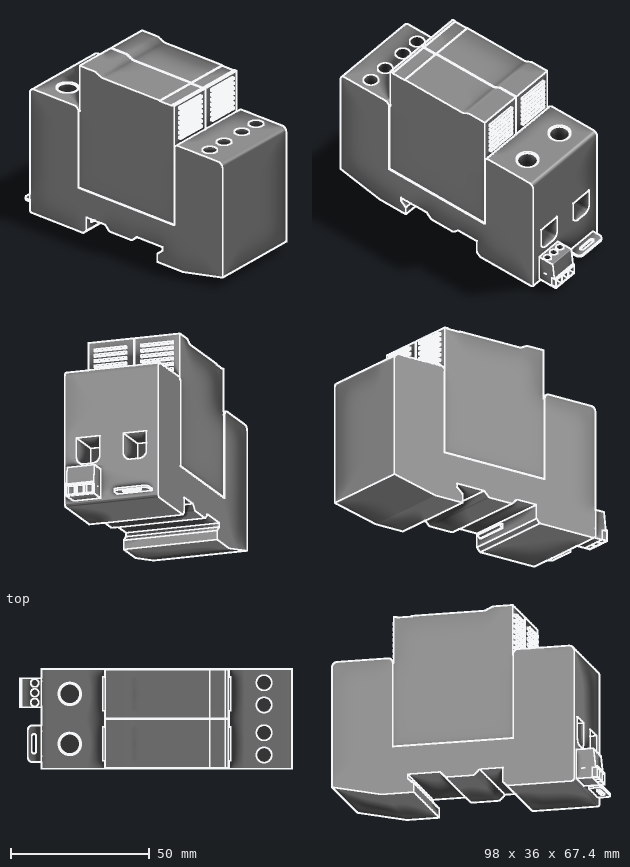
import cadquery as cq
import math

total_length = 97.95
width = 36.0
connector_reach = 7.75
length = total_length - connector_reach
shoulder_z = 50.65
edge_radius = 2.0
base_radius = 1.0
module_centers = (width / 4, 3 * width / 4)

bay_left = 22.7
bay_right = 67.55
bay_floor = 17.65
bay_edge_radius = 1.8

rail_roof = 6.85
rail_left = 26.5
rail_left_chamfer = 1.5
rail_right = 62.0
rail_lip = 59.65
rail_lip_top = 3.4
rail_lip_bevel_top = 5.4
boss_left = 35.2
boss_right = 49.9
boss_bottom = 4.75
boss_bevel = 2.1
boss_radius = 1.2
slope_start = 71.8
slope_end_z = 4.0

cartridge_top = 67.4
cartridge_side_inset = 0.4
cartridge_end_step = 0.3
cartridge_step_z = shoulder_z - bay_edge_radius
module_gap = 0.4
deck_z = 66.0
ramp_start = 30.4
ramp_end = 33.3
ramp_radius = 1.4
label_left = 60.5
label_right = 66.1
label_depth = 0.25

fin_count = 7
fin_pitch = 2.01
fin_top_z = 64.2
fin_height = 0.7
fin_length = 12.2
fin_reach = 0.9

screw_x = 10.2
screw_diameter = 7.3
screw_rim_chamfer = 0.45
screw_depth = 20.0
wire_width = 8.95
wire_bottom = 15.2
wire_top = 25.2
wire_radius = 2.7
wire_depth = 14.5
rear_screw_x = 80.1
rear_screw_diameter = 5.5
rear_screw_offset = 4.0

connector_width = 10.5
connector_center_y = 27.4
connector_bottom = 1.75
connector_top = 12.65
connector_step_z = 5.95
connector_step = 0.65
connector_top_reach = 6.35
connector_radius = 0.4
pole_count = 3
pole_pitch = 3.5
pole_hole_diameter = 2.85
pole_hole_x = -2.4
pole_width = 3.0
pole_bottom = 2.0
pole_top = 5.6
pole_depth = 2.0

latch_reach = 4.95
latch_width = 13.3
latch_center_y = 9.05
latch_bottom = 2.6
latch_thickness = 0.75
latch_radius = 1.8
latch_slot_x = -2.7
latch_slot_width = 1.5
latch_slot_length = 7.0
hook_top = 5.7
hook_bottom = 4.1
hook_nose_z = 5.2
hook_reach = 1.4
hook_bottom_reach = 0.5

overlap = 1.0


def rounded_outline(plane, corners):
    """Closed outline on a plane; each corner is (u, v) or (u, v, fillet radius)."""
    segments = []
    for i, corner in enumerate(corners):
        here = cq.Vector(corner[0], corner[1])
        radius = corner[2] if len(corner) == 3 else 0
        if radius == 0:
            segments.append((here,))
            continue
        before = corners[i - 1]
        after = corners[(i + 1) % len(corners)]
        to_before = (cq.Vector(before[0], before[1]) - here).normalized()
        to_after = (cq.Vector(after[0], after[1]) - here).normalized()
        half_angle = to_before.getAngle(to_after) / 2
        tangent = radius / math.tan(half_angle)
        bisector = (to_before + to_after).normalized()
        arc_middle = here + bisector * (radius / math.sin(half_angle) - radius)
        segments.append((here + to_before * tangent, arc_middle, here + to_after * tangent))

    start = segments[0][-1]
    outline = cq.Workplane(plane).moveTo(start.x, start.y)
    for points in segments[1:] + segments[:1]:
        outline = outline.lineTo(points[0].x, points[0].y)
        if len(points) == 3:
            outline = outline.threePointArc(points[1].toTuple()[:2], points[2].toTuple()[:2])
    return outline.close()


def extrude_y(corners, y_start, y_end):
    """XZ outline extruded between two Y positions."""
    return rounded_outline("XZ", corners).extrude(y_start - y_end).translate((0, y_start, 0))


def block(x_range, y_range, z_range):
    """Box between the given limits on each axis."""
    size = [high - low for low, high in (x_range, y_range, z_range)]
    corner = (x_range[0], y_range[0], z_range[0])
    return cq.Workplane("XY").box(*size, centered=False).translate(corner)


def drill(x, y, top_z, diameter, depth):
    """Vertical cutting cylinder going down from top_z."""
    cylinder = cq.Workplane("XY").circle(diameter / 2).extrude(-depth)
    return cylinder.translate((x, y, top_z))


def rim_cone(x, y, top_z, diameter, chamfer):
    """Cutting cone that chamfers the rim of a vertical hole at 45 degrees."""
    radius = diameter / 2
    cone = cq.Solid.makeCone(radius, radius + chamfer, chamfer)
    return cq.Workplane("XY").newObject([cone]).translate((x, y, top_z - chamfer))


def make_housing():
    """Full-width profile with the module bay on top and the DIN rail recess below."""
    return extrude_y([
        (bay_left, bay_floor),
        (bay_left, shoulder_z, bay_edge_radius),
        (0, shoulder_z, edge_radius),
        (0, 0, base_radius),
        (rail_left - rail_left_chamfer, 0),
        (rail_left, rail_left_chamfer),
        (rail_left, rail_roof),
        (boss_left, rail_roof),
        (boss_left + boss_bevel, boss_bottom, boss_radius),
        (boss_right - boss_bevel, boss_bottom, boss_radius),
        (boss_right, rail_roof),
        (rail_right, rail_roof),
        (rail_right, rail_lip_bevel_top),
        (rail_lip, rail_lip_top),
        (rail_lip, 0),
        (slope_start, 0),
        (length, slope_end_z),
        (length, shoulder_z, edge_radius),
        (bay_right, shoulder_z, bay_edge_radius),
        (bay_right, bay_floor),
    ], 0, width)


def make_modules():
    """Two plug-in modules side by side, slightly narrower than the housing, with end fins."""
    left = bay_left + cartridge_end_step
    right = bay_right - cartridge_end_step
    modules = extrude_y([
        (bay_left, bay_floor),
        (bay_left, cartridge_step_z),
        (left, cartridge_step_z),
        (left, cartridge_top),
        (ramp_start, cartridge_top, ramp_radius),
        (ramp_end, deck_z, ramp_radius),
        (label_left, deck_z),
        (label_left, deck_z - label_depth),
        (label_right, deck_z - label_depth),
        (label_right, deck_z),
        (right, deck_z),
        (right, cartridge_step_z),
        (bay_right, cartridge_step_z),
        (bay_right, bay_floor),
    ], cartridge_side_inset, width - cartridge_side_inset)
    for y in module_centers:
        for i in range(fin_count):
            z = fin_top_z - i * fin_pitch
            modules = modules.union(block(
                (left - fin_reach, right + fin_reach),
                (y - fin_length / 2, y + fin_length / 2),
                (z - fin_height / 2, z + fin_height / 2),
            ))
    gap = block(
        (bay_left, bay_right),
        ((width - module_gap) / 2, (width + module_gap) / 2),
        (bay_floor, cartridge_top),
    )
    return modules.cut(gap)


def cut_terminals(body):
    """Wire entries in the left face and blind screw holes in both shoulders."""
    for y in module_centers:
        wire_entry = rounded_outline("YZ", [
            (y - wire_width / 2, wire_top),
            (y - wire_width / 2, wire_bottom, wire_radius),
            (y + wire_width / 2, wire_bottom, wire_radius),
            (y + wire_width / 2, wire_top),
        ]).extrude(wire_depth)
        body = body.cut(wire_entry)
        body = body.cut(drill(screw_x, y, shoulder_z, screw_diameter, screw_depth))
        body = body.cut(rim_cone(screw_x, y, shoulder_z, screw_diameter, screw_rim_chamfer))
        for side in (-1, 1):
            rear_y = y + side * rear_screw_offset
            body = body.cut(drill(rear_screw_x, rear_y, shoulder_z, rear_screw_diameter, screw_depth))
    return body


def make_connector():
    """Three-pole connector block on the left face."""
    connector = extrude_y([
        (overlap, connector_bottom),
        (-connector_reach, connector_bottom),
        (-connector_reach, connector_step_z),
        (-connector_reach + connector_step, connector_step_z),
        (-connector_top_reach, connector_top, connector_radius),
        (overlap, connector_top),
    ], connector_center_y - connector_width / 2, connector_center_y + connector_width / 2)
    hole_depth = connector_top - pole_top
    for i in range(pole_count):
        y = connector_center_y + (i - (pole_count - 1) / 2) * pole_pitch
        connector = connector.cut(drill(pole_hole_x, y, connector_top, pole_hole_diameter, hole_depth))
        connector = connector.cut(block(
            (-connector_reach, -connector_reach + pole_depth),
            (y - pole_width / 2, y + pole_width / 2),
            (pole_bottom, pole_top),
        ))
    return connector


def make_latch():
    """Slotted pull tab on the left face and the hook that grips the rail."""
    y_front = latch_center_y - latch_width / 2
    y_back = latch_center_y + latch_width / 2
    tab = rounded_outline("XY", [
        (overlap, y_front),
        (-latch_reach, y_front, latch_radius),
        (-latch_reach, y_back, latch_radius),
        (overlap, y_back),
    ]).extrude(latch_thickness)
    slot = (
        cq.Workplane("XY")
        .center(latch_slot_x, latch_center_y)
        .slot2D(latch_slot_length, latch_slot_width, 90)
        .extrude(latch_thickness)
    )
    tab = tab.cut(slot).translate((0, 0, latch_bottom))
    hook = extrude_y([
        (rail_left - overlap, hook_bottom),
        (rail_left + hook_bottom_reach, hook_bottom),
        (rail_left + hook_reach, hook_nose_z),
        (rail_left + hook_reach, hook_top),
        (rail_left - overlap, hook_top),
    ], y_front, y_back)
    return tab.union(hook)


housing = make_housing().union(make_modules())
result = cut_terminals(housing).union(make_connector()).union(make_latch())